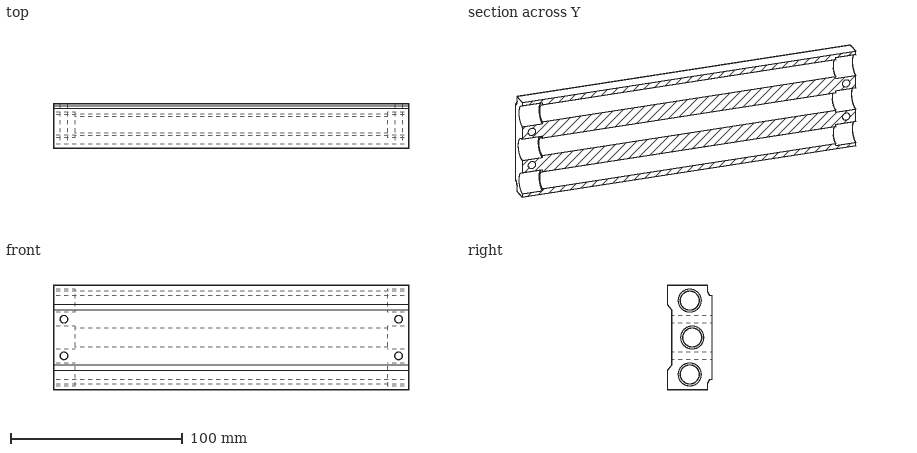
import cadquery as cq

length = 207.0
depth = 26.0
height = 61.0

channel_depth = 2.5
channel_slope = 3.1
front_rail_height = 11.4

pad_rise = 2.7
pad_inset = 6.0
ledge_width = 1.5
step_height = 3.5

bore_diameter = 11.0
port_diameter = 13.5
port_depth = 12.5
bore_spacing = 21.5
outer_bore_from_front = 13.0
middle_bore_from_front = 14.5

screw_diameter = 4.3
screw_end_distance = 6.0
screw_spacing = 21.3

front = -depth / 2
back = depth / 2


def make_bar():
    """Extrude the Y-Z cross-section, mirrored about Z = 0, along the length."""
    top = height / 2
    upper_half = [
        (front + channel_depth, top - front_rail_height - channel_slope),
        (front, top - front_rail_height),
        (front, top),
        (back - pad_rise, top),
        (back - pad_rise, top - step_height),
        (back - ledge_width, top - pad_inset),
        (back, top - pad_inset),
    ]
    lower_half = [(y, -z) for y, z in reversed(upper_half)]
    section = cq.Workplane("YZ").polyline(upper_half + lower_half).close()
    return section.extrude(length / 2, both=True)


def make_bore(y, z):
    """Through bore along X with a wider port at each end."""
    start = cq.Workplane("YZ", origin=(-length / 2, y, z))
    bore = start.circle(bore_diameter / 2).extrude(length)
    near_port = start.circle(port_diameter / 2).extrude(port_depth)
    far_port = near_port.translate((length - port_depth, 0, 0))
    return bore.union(near_port).union(far_port)


def make_screw_holes():
    """Four through holes along Y at the corners of a rectangle."""
    return (
        cq.Workplane("XZ", origin=(0, back, 0))
        .rect(length - 2 * screw_end_distance, screw_spacing, forConstruction=True)
        .vertices()
        .circle(screw_diameter / 2)
        .extrude(depth)
    )


bore_centres = [
    (front + outer_bore_from_front, bore_spacing),
    (front + middle_bore_from_front, 0),
    (front + outer_bore_from_front, -bore_spacing),
]

result = make_bar().cut(make_screw_holes())
for y, z in bore_centres:
    result = result.cut(make_bore(y, z))